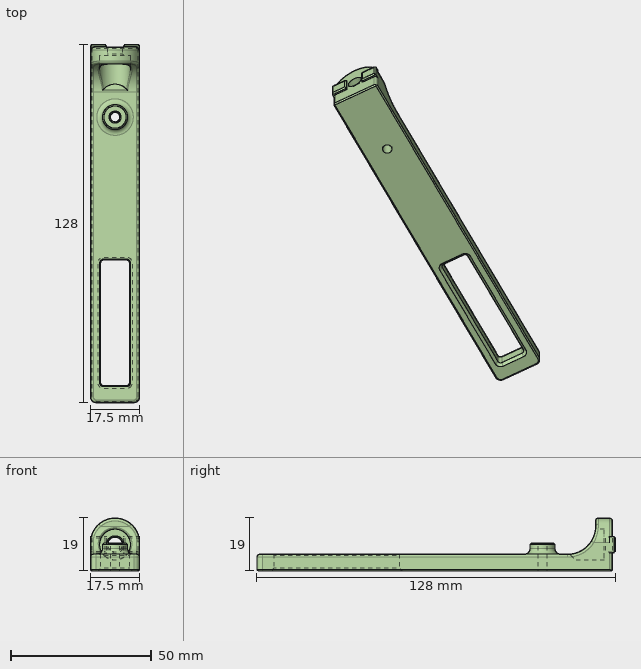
import cadquery as cq

width = 17.5
length = 128.0
bar_height = 6.0
end_corner_radius = 2.0
edge_fillet = 1.0
edge_chamfer = 0.5

pick_margin = 0.1

pad_depth = 1.0
lug_back = length - pad_depth
lug_thickness = 6.0
lug_front = lug_back - lug_thickness
lug_radius = width / 2
total_height = 19.0
lug_axis_height = total_height - lug_radius
web_radius = 10.0
web_front = lug_front - web_radius

recess_axis_height = 9.5
recess_radius = 5.5
recess_wall = 3.0
recess_rim_fillet = 0.5
ramp_setback = 0.8
ramp_top = web_front + ramp_setback
lug_hole_diameter = 5.2

pad_inner_x = 3.1
pad_height = 5.9

boss_y = 102.0
boss_diameter = 9.0
boss_height = 4.0
boss_foot_fillet = 2.0
boss_hole_diameter = 3.3

window_width = 10.2
window_start = 6.1
window_end = 51.0
window_corner_radius = 1.0
window_top_chamfer = 0.4
window_bottom_chamfer = 1.0


def make_body():
    """Bar and lug: the side profile trimmed to the arched end shape."""
    side = (
        cq.Workplane("YZ")
        .moveTo(0, 0)
        .lineTo(lug_back, 0)
        .lineTo(lug_back, total_height)
        .lineTo(lug_front, total_height)
        .lineTo(lug_front, bar_height + web_radius)
        .radiusArc((web_front, bar_height), web_radius)
        .lineTo(0, bar_height)
        .close()
        .extrude(width / 2, both=True)
    )
    arch = (
        cq.Workplane("XZ")
        .moveTo(-lug_radius, 0)
        .lineTo(lug_radius, 0)
        .lineTo(lug_radius, lug_axis_height)
        .threePointArc((0, total_height), (-lug_radius, lug_axis_height))
        .close()
        .extrude(-length)
    )
    body = side.intersect(arch)
    body = body.edges("|Z and <Y").fillet(end_corner_radius)
    body = body.faces("<Z").edges().chamfer(edge_chamfer)
    return body


def round_edges(body):
    """Round the upper edges of the bar and web, and both arched edges of the lug."""
    web_mid_height = bar_height + web_radius / 2
    upper_side_region = cq.selectors.BoxSelector(
        (-width, 0, bar_height - pick_margin),
        (width, lug_front - lug_thickness / 2, web_mid_height),
    )
    side_edges = body.faces("<X or >X").edges("not |Z").edges(upper_side_region)
    back_edges = body.faces(">Y").edges("not |X")
    return body.newObject(side_edges.vals() + back_edges.vals()).fillet(edge_fillet)


def make_recess():
    """Round pocket along Y that runs out of the web up a 45 degree ramp."""
    floor_height = recess_axis_height - recess_radius
    ramp_foot = ramp_top + bar_height - floor_height
    cylinder = (
        cq.Workplane("XZ", origin=(0, 0, recess_axis_height))
        .circle(recess_radius)
        .extrude(-length)
    )
    side = (
        cq.Workplane("YZ")
        .moveTo(lug_back - recess_wall, floor_height)
        .lineTo(ramp_foot, floor_height)
        .lineTo(ramp_foot - 2 * recess_radius, floor_height + 2 * recess_radius)
        .lineTo(lug_back - recess_wall, floor_height + 2 * recess_radius)
        .close()
        .extrude(recess_radius, both=True)
    )
    return cylinder.intersect(side)


def cut_recess(body):
    """Cut the recess and round its rim, which lies wholly on the curved web."""
    body = body.cut(make_recess())
    rim_region = cq.selectors.BoxSelector(
        (-recess_radius - pick_margin, web_front + pick_margin, bar_height - pick_margin),
        (recess_radius + pick_margin, lug_front, recess_axis_height + recess_radius + pick_margin),
        boundingbox=True,
    )
    return body.edges(rim_region).edges("not |Y").fillet(recess_rim_fillet)


def cut_lug_hole(body):
    """Screw hole through the lug wall, chamfered where it meets the recess."""
    wall_front = lug_back - recess_wall
    hole_radius = lug_hole_diameter / 2
    mouth_radius = hole_radius + edge_chamfer
    cutter = (
        cq.Workplane("XY")
        .moveTo(0, wall_front)
        .lineTo(mouth_radius, wall_front)
        .lineTo(hole_radius, wall_front + edge_chamfer)
        .lineTo(hole_radius, length)
        .lineTo(0, length)
        .close()
        .revolve(360, (0, 0), (0, 1))
        .translate((0, 0, recess_axis_height))
    )
    return body.cut(cutter)


def make_pad(side):
    """Chamfered locating pad on the back face; side is -1 or 1."""
    pad_width = width / 2 - pad_inner_x
    return (
        cq.Workplane("XY")
        .box(pad_width, edge_fillet + pad_depth, pad_height)
        .faces(">Y")
        .chamfer(edge_chamfer)
        .translate((
            side * (pad_inner_x + pad_width / 2),
            length - (edge_fillet + pad_depth) / 2,
            recess_axis_height,
        ))
    )


def make_boss():
    """Boss with a concave flared foot, revolved about its own axis."""
    radius = boss_diameter / 2
    return (
        cq.Workplane("XZ")
        .moveTo(0, -boss_foot_fillet)
        .lineTo(radius + boss_foot_fillet, -boss_foot_fillet)
        .lineTo(radius + boss_foot_fillet, 0)
        .radiusArc((radius, boss_foot_fillet), boss_foot_fillet)
        .lineTo(radius, boss_height - edge_chamfer)
        .lineTo(radius - edge_chamfer, boss_height)
        .lineTo(0, boss_height)
        .close()
        .revolve(360, (0, 0), (0, 1))
        .translate((0, boss_y, bar_height))
    )


def cut_boss_hole(body):
    """Through hole in the boss with a chamfered mouth."""
    boss_top = bar_height + boss_height
    hole = cq.Workplane("XY").circle(boss_hole_diameter / 2).extrude(boss_top)
    hole = hole.union(cq.Workplane(cq.Solid.makeCone(
        boss_hole_diameter / 2,
        boss_hole_diameter / 2 + edge_chamfer,
        edge_chamfer,
        pnt=cq.Vector(0, 0, boss_top - edge_chamfer),
    )))
    return body.cut(hole.translate((0, boss_y, 0)))


def cut_window(body):
    """Rounded rectangular window with both rims chamfered."""
    window_length = window_end - window_start
    window = (
        cq.Workplane("XY")
        .center(0, (window_start + window_end) / 2)
        .rect(window_width, window_length)
        .extrude(bar_height)
        .edges("|Z")
        .fillet(window_corner_radius)
    )
    body = body.cut(window)
    rims = ((0, window_bottom_chamfer), (bar_height, window_top_chamfer))
    for face_height, rim_chamfer in rims:
        rim_edges = cq.selectors.BoxSelector(
            (-window_width, window_start - pick_margin, face_height - pick_margin),
            (window_width, window_end + pick_margin, face_height + pick_margin),
            boundingbox=True,
        )
        body = body.edges(rim_edges).chamfer(rim_chamfer)
    return body


result = make_body()
result = round_edges(result)
result = cut_recess(result)
result = cut_lug_hole(result)
for side in (-1, 1):
    result = result.union(make_pad(side))
result = result.union(make_boss())
result = cut_boss_hole(result)
result = cut_window(result)